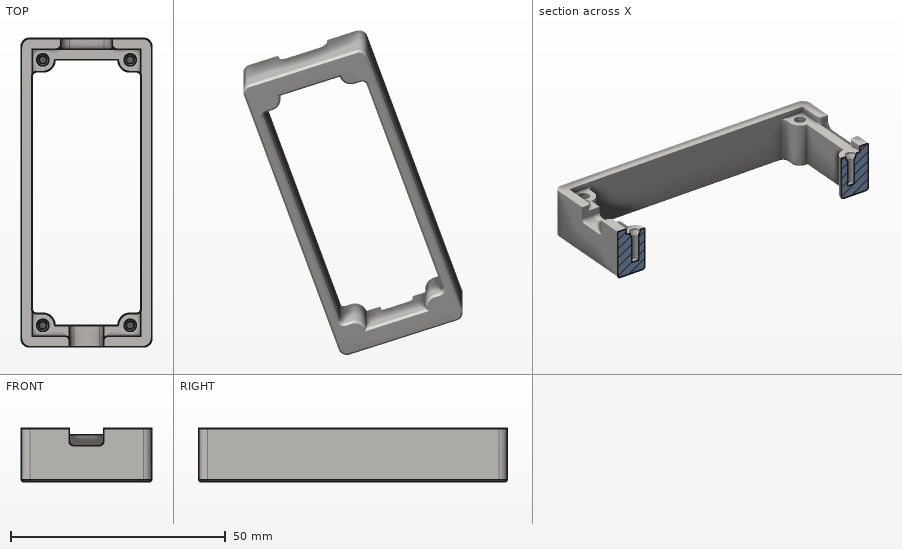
import cadquery as cq

length = 71.8
width = 30.4
height = 12.5
wall = 2.5
corner_radius = 2.0
bottom_chamfer = 0.5

ledge_drop = 1.5
ledge_width = 2.5
boss_inset = wall + ledge_width
boss_radius = 2.8
boss_fillet = 1.0

screw_diameter = 1.8
screw_mouth_diameter = 2.8
screw_depth = 8.0
mouth_depth = 0.5
taper_depth = 1.0

front_notch_width = 8.0
front_notch_depth = 4.0
front_notch_fillet = 1.0
back_notch_width = 12.0
back_notch_depth = 3.2
back_notch_fillet = 2.0
notch_lip_fillet = 1.0

half_length = length / 2
half_width = width / 2
inner_length = length - 2 * wall
inner_width = width - 2 * wall
ledge_top = height - ledge_drop
boss_x = half_width - boss_inset
boss_y = half_length - boss_inset


def make_outer_block():
    block = cq.Workplane("XY").box(width, length, height, centered=(True, True, False))
    return block.edges("|Z").fillet(corner_radius)


def make_opening():
    """Central through opening, leaving the ledges and the corner bosses."""
    opening = cq.Workplane("XY").box(inner_width, 2 * boss_y, height, centered=(True, True, False))
    for side_x in (-1, 1):
        for side_y in (-1, 1):
            x, y = side_x * boss_x, side_y * boss_y
            boss = cq.Workplane("XY").center(x, y).circle(boss_radius).extrude(height)
            web = (
                cq.Workplane("XY")
                .center(x + side_x * boss_radius / 2, y)
                .rect(boss_radius, 2 * boss_radius)
                .extrude(height)
            )
            opening = opening.cut(boss).cut(web)
    wall_corners = cq.selectors.BoxSelector(
        (-half_width, -boss_y + boss_radius / 2, 0), (half_width, boss_y - boss_radius / 2, height)
    )
    side_edges = opening.edges("|Z").edges(wall_corners).edges("<X or >X")
    return side_edges.fillet(boss_fillet)


def make_lid_recess():
    """Shallow recess above the ledges, inside the outer walls."""
    recess = cq.Workplane("XY").workplane(offset=ledge_top)
    return recess.rect(inner_width, inner_length).extrude(ledge_drop)


def make_notch(notch_width, depth, fillet, start_y, end_y):
    """Slot open at the top, with rounded bottom corners, running along Y."""
    middle_y = (start_y + end_y) / 2
    notch = (
        cq.Workplane("XY", origin=(0, middle_y, height - depth))
        .box(notch_width, end_y - start_y, depth, centered=(True, True, False))
    )
    return notch.edges("|Y and <Z").fillet(fillet)


def round_notch_lips(body, notch_width, side_y):
    """Round the upright inner edges where a notch meets the lid recess."""
    x = notch_width / 2
    y = side_y * inner_length / 2
    for side_x in (-1, 1):
        edge = cq.selectors.NearestToPointSelector((side_x * x, y, height - ledge_drop / 2))
        body = body.edges("|Z").edges(edge).fillet(notch_lip_fillet)
    return body


def make_screw_hole(x, y):
    mouth_radius = screw_mouth_diameter / 2
    screw_radius = screw_diameter / 2
    taper_top = ledge_top - mouth_depth
    half_profile = (
        cq.Workplane("XZ")
        .moveTo(0, ledge_top)
        .lineTo(mouth_radius, ledge_top)
        .lineTo(mouth_radius, taper_top)
        .lineTo(screw_radius, taper_top - taper_depth)
        .lineTo(screw_radius, ledge_top - screw_depth)
        .lineTo(0, ledge_top - screw_depth)
        .close()
    )
    return half_profile.revolve(360, (0, 0), (0, 1)).translate((x, y, 0))


front_notch = make_notch(
    front_notch_width, front_notch_depth, front_notch_fillet, -half_length, -boss_y
)
back_notch = make_notch(
    back_notch_width, back_notch_depth, back_notch_fillet, inner_length / 2, half_length
)

result = make_outer_block().cut(make_opening()).cut(make_lid_recess())
result = result.faces("<Z").chamfer(bottom_chamfer)
result = result.cut(front_notch).cut(back_notch)
result = round_notch_lips(result, front_notch_width, -1)
result = round_notch_lips(result, back_notch_width, 1)
for side_x in (-1, 1):
    for side_y in (-1, 1):
        result = result.cut(make_screw_hole(side_x * boss_x, side_y * boss_y))